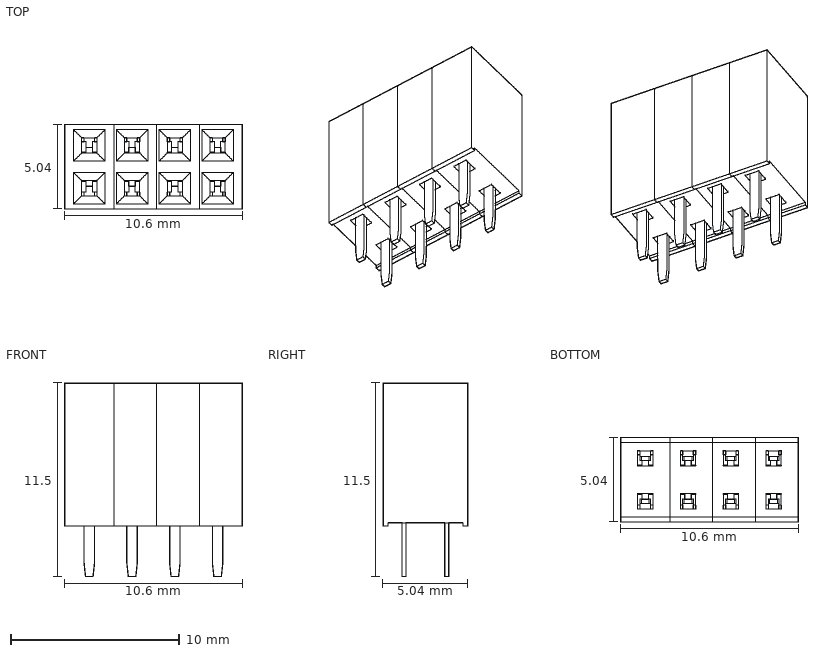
import cadquery as cq
import math


module_count = 4
pitch = 2.54
web = 0.39
row_turns = (0, 180)
depth = 5.04
housing_height = 8.5
cell_width = pitch + web

foot_width = 0.3
foot_height = 0.2

mouth_size = 1.87
bore_size = 0.9
lead_in_depth = (mouth_size - bore_size) / 2

tail_length = 3.0
tail_width = 0.63
tail_thickness = 0.25
tip_width = 0.46
tip_length = 0.8
bend_radius = 0.31
bend_height = 0.58
flange_slope = 10.0

contact_gap = 0.37
contact_radius = 0.74
flank_slope = 56.0
spring_width = 0.64
spring_shift = 0.09
spring_height = 6.32


def make_housing(left, right):
    """Housing block between two X positions, with the recess between its feet."""
    width = right - left
    middle = (left + right) / 2
    block = cq.Workplane().box(width, depth, housing_height, centered=(True, True, False))
    recess = cq.Workplane().box(width, depth - 2 * foot_width, foot_height, centered=(True, True, False))
    return block.cut(recess).translate((middle, 0, 0))


def make_socket():
    """Void of one socket, centred on the Z axis."""
    bore = cq.Workplane().rect(bore_size, bore_size).extrude(housing_height)
    lead_in = (
        cq.Workplane()
        .workplane(offset=housing_height - lead_in_depth)
        .rect(bore_size, bore_size)
        .workplane(offset=lead_in_depth)
        .rect(mouth_size, mouth_size)
        .loft(ruled=True)
    )
    return bore.union(lead_in)


def make_tail():
    """Tapered solder tail, bent over into a flange that meets the +Y bore wall."""
    slope = math.radians(flange_slope)
    inner_radius = bend_radius - tail_thickness
    inner_face = -tail_thickness / 2
    outer_face = tail_thickness / 2
    wall = bore_size / 2
    centre_y = inner_face + bend_radius

    def on_bend(radius, angle):
        return (centre_y - radius * math.cos(angle), bend_height + radius * math.sin(angle))

    bend_end = math.pi / 2 - slope
    top_start = on_bend(bend_radius, bend_end)
    under_start = on_bend(inner_radius, bend_end)
    top_wall_z = top_start[1] + (wall - top_start[0]) * math.tan(slope)
    under_wall_z = under_start[1] + (wall - under_start[0]) * math.tan(slope)

    sheet = (
        cq.Workplane("YZ")
        .moveTo(inner_face, -tail_length)
        .lineTo(inner_face, bend_height)
        .threePointArc(on_bend(bend_radius, bend_end / 2), top_start)
        .lineTo(wall, top_wall_z)
        .lineTo(wall, under_wall_z)
        .lineTo(*under_start)
        .threePointArc(on_bend(inner_radius, bend_end / 2), (outer_face, bend_height))
        .lineTo(outer_face, -tail_length)
        .close()
        .extrude(tail_width / 2, both=True)
    )
    shoulder = tip_length - tail_length
    outline = (
        cq.Workplane("XZ")
        .polyline([
            (-tip_width / 2, -tail_length),
            (tip_width / 2, -tail_length),
            (tail_width / 2, shoulder),
            (tail_width / 2, top_wall_z),
            (-tail_width / 2, top_wall_z),
            (-tail_width / 2, shoulder),
        ])
        .close()
        .extrude(bore_size, both=True)
    )
    return sheet.intersect(outline)


def make_spring():
    """Contact bump on the -X bore wall."""
    slope = math.radians(flank_slope)
    wall = -bore_size / 2
    crest = -contact_gap / 2
    arc_x = crest - contact_radius * (1 - math.sin(slope))
    arc_rise = contact_radius * math.cos(slope)
    wall_rise = arc_rise + (arc_x - wall) * math.tan(slope)
    return (
        cq.Workplane("XZ")
        .moveTo(wall, spring_height - wall_rise)
        .lineTo(arc_x, spring_height - arc_rise)
        .threePointArc((crest, spring_height), (arc_x, spring_height + arc_rise))
        .lineTo(wall, spring_height + wall_rise)
        .close()
        .extrude(spring_width / 2, both=True)
        .translate((0, -spring_shift, 0))
    )


def make_contact_parts():
    """Tail and both springs of the +Y socket, centred on the Z axis."""
    spring = make_spring()
    return [make_tail(), spring, spring.mirror("YZ")]


def place_in_row(shape, centre_x, turn):
    """Move a +Y socket feature to its row; a half turn puts it in the -Y row."""
    return shape.translate((0, pitch / 2, 0)).rotate((0, 0, 0), (0, 0, 1), turn).translate((centre_x, 0, 0))


def make_module(index):
    """One module: housing slice and its two contacts as a single solid."""
    centre = (index - (module_count - 1) / 2) * pitch
    left = centre - cell_width / 2
    right = centre + cell_width / 2
    if index > 0:
        left += web

    module = make_housing(left, right)
    for turn in row_turns:
        module = module.cut(place_in_row(make_socket(), centre, turn))
        for part in make_contact_parts():
            module = module.union(place_in_row(part, centre, turn))
    return module


modules = [make_module(index) for index in range(module_count)]

result = cq.Compound.makeCompound([module.val() for module in modules])